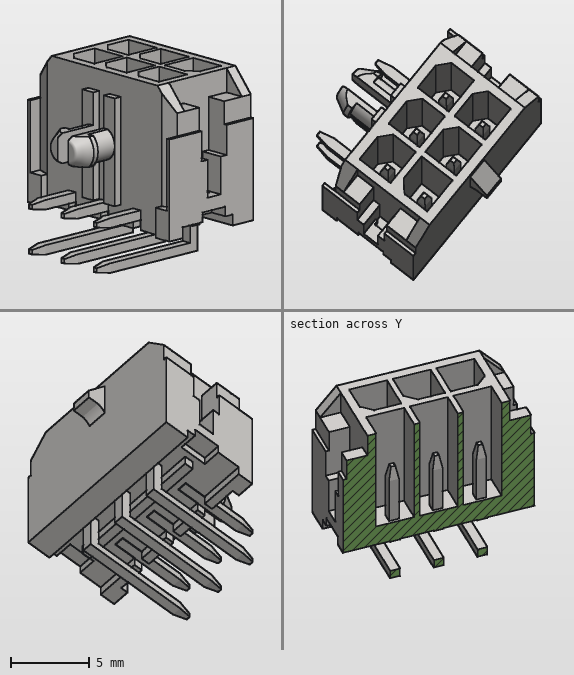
import cadquery as cq
import math


overall_width = 13.15
depth = 6.89
height = 9.93
core_half_width = 4.9
shoulder_half_width = 6.34
shoulder_height = 8.31
corner_inner_x = 5.3
corner_bevel_depth = 0.35
front_gusset_thickness = 1.01
back_gusset_thickness = 0.79
skirt_height = 6.79
front_reach = 0.54
foot_height = 2.0

slot_center = 3.42
slot_wide = 2.21
slot_wide_floor = 4.79
slot_narrow = 1.16
slot_narrow_floor = 2.27
clip_pocket_floor = 1.58
clip_pocket_inner_x = 5.34
clip_pocket_outer_x = 5.65
clip_pocket_width = 0.84

underside = 0.74
front_foot_depth = 0.63
back_foot_depth = 1.84
cross_rib_center = 3.42
cross_rib_thickness = 0.65
window_height = 0.65
window_width = 2.01
window_center = 3.4

split_half_gap = 0.49
rib_outer_x = 1.5
rib_bottom = 1.33
rib_top = 8.5
peg_z = 5.31
peg_height = 2.01
peg_axis_x = 0.38
shank_radius = rib_outer_x - peg_axis_x
barb_radius = 1.38
barb_start = 2.26
barb_length = 0.37
nose_radius = 0.79
nose_fillet = 0.22

pitch = 3.0
columns = (-pitch, 0, pitch)
front_row_y = 1.96
back_row_y = front_row_y + pitch
pin_width = 0.68
pin_thickness = 0.65
pin_tip = 0.3
taper_length = 1.01
pin_end_y = -3.7
upper_run_z = rib_bottom - pin_thickness / 2
lower_run_z = upper_run_z - pitch
leg_back_y = depth - back_foot_depth
leg_top = 1.84
pin_top = 6.58

cavity_width = 2.6
cavity_depth = 2.52
cavity_key_x = 0.75
cavity_key_y = 0.67
cavity_floor = slot_narrow_floor

latch_width = 1.45
latch_reach = 1.37
latch_top = 9.34
latch_nose_top = 7.73
latch_nose_bottom = 7.0
latch_root_reach = 0.6
latch_root_drop = 0.42
latch_root_radius = 1.05

half_width = overall_width / 2


def box(x0, x1, y0, y1, z0, z1):
    """Box between two opposite corners."""
    return cq.Workplane("XY").box(x1 - x0, y1 - y0, z1 - z0, centered=False).translate((x0, y0, z0))


def both_sides(right_half):
    """Right-hand feature together with its mirror image across x = 0."""
    return right_half.union(right_half.mirror("YZ"))


def shoulders():
    """Side shoulders with sloping end gussets and bevelled front corners."""
    side = box(core_half_width, shoulder_half_width, 0, depth, 0, shoulder_height)
    gusset = (
        cq.Workplane("XZ")
        .moveTo(core_half_width, shoulder_height)
        .lineTo(shoulder_half_width, shoulder_height)
        .lineTo(core_half_width, height)
        .close()
        .extrude(-depth)
    )
    gap = box(core_half_width, half_width, front_gusset_thickness, depth - back_gusset_thickness,
              shoulder_height, height)
    side = side.union(gusset.cut(gap))
    bevel = (
        cq.Workplane("XY")
        .moveTo(corner_inner_x, 0)
        .lineTo(shoulder_half_width, corner_bevel_depth)
        .lineTo(shoulder_half_width, 0)
        .close()
        .extrude(height)
    )
    return both_sides(side.cut(bevel))


def skirts():
    """Thin outer walls with the front feet."""
    wall = box(shoulder_half_width, half_width, -front_reach, depth, 0, skirt_height)
    foot = box(corner_inner_x, half_width, -front_reach, front_foot_depth, 0, foot_height)
    return both_sides(wall.union(foot))


def side_cuts():
    """Stepped clip slot with its blind pocket, and the window in the lower edge."""
    def slot_step(width, floor):
        y0 = slot_center - width / 2
        return box(core_half_width, half_width, y0, y0 + width, floor, height)

    cuts = slot_step(slot_wide, slot_wide_floor).union(slot_step(slot_narrow, slot_narrow_floor))
    narrow_y0 = slot_center - slot_narrow / 2
    pocket_y0 = slot_center - clip_pocket_width / 2
    cuts = cuts.union(
        box(core_half_width, clip_pocket_inner_x, narrow_y0, narrow_y0 + slot_narrow,
            clip_pocket_floor, slot_narrow_floor)
    )
    cuts = cuts.union(
        box(core_half_width, clip_pocket_outer_x, pocket_y0, pocket_y0 + clip_pocket_width,
            clip_pocket_floor, slot_narrow_floor)
    )
    window_y0 = window_center - window_width / 2
    window = box(corner_inner_x, half_width, window_y0, window_y0 + window_width,
                 underside, underside + window_height)
    return both_sides(cuts.union(window))


def underside_cut():
    """Relief between front and back feet, leaving a cross rib, plus tail notches in the front wall."""
    relief = box(-half_width, half_width, front_foot_depth, depth - back_foot_depth, 0, underside)
    rib_y0 = cross_rib_center - cross_rib_thickness / 2
    relief = relief.cut(
        box(-core_half_width, core_half_width, rib_y0, rib_y0 + cross_rib_thickness, 0, underside)
    )
    for x in columns:
        relief = relief.union(
            box(x - pin_width / 2, x + pin_width / 2, 0, front_foot_depth, 0, upper_run_z)
        )
    return relief


def cavity(x, y, key_side):
    """Contact cavity with one front corner cut off; key_side is -1 for left and 1 for right."""
    half_x = key_side * cavity_width / 2
    half_y = cavity_depth / 2
    outline = [
        (-half_x, half_y),
        (half_x, half_y),
        (half_x, cavity_key_y - half_y),
        (half_x - key_side * cavity_key_x, -half_y),
        (-half_x, -half_y),
    ]
    plane = cq.Workplane("XY", origin=(x, y, cavity_floor))
    return plane.polyline(outline).close().extrude(height - cavity_floor)


def tapered_pin(plane, length):
    """Rectangular pin that starts on a plane and narrows to a square tip along its normal."""
    shaft = cq.Workplane(plane).rect(pin_width, pin_thickness).extrude(length - taper_length)
    taper = (
        cq.Workplane(plane)
        .workplane(offset=length - taper_length)
        .rect(pin_width, pin_thickness)
        .workplane(offset=taper_length)
        .rect(pin_tip, pin_tip)
        .loft()
    )
    return shaft.union(taper)


def upright_pin(x, y):
    """Mating end of a contact inside its cavity."""
    start = upper_run_z
    return tapered_pin(cq.Plane((x, y, start), (1, 0, 0), (0, 0, 1)), pin_top - start)


def tail(x, start_y, z):
    """Horizontal solder tail that points to the front."""
    return tapered_pin(cq.Plane((x, start_y, z), (1, 0, 0), (0, -1, 0)), start_y - pin_end_y)


def rear_leg(x):
    """Vertical part that links a rear contact to its low tail."""
    bottom = lower_run_z - pin_thickness / 2
    return box(x - pin_width / 2, x + pin_width / 2, leg_back_y - pin_width, leg_back_y, bottom, leg_top)


def peg():
    """Split snap peg: two flat-sided round halves with barbed, tapered heads."""
    end = -pin_end_y
    axis_plane = cq.Plane((peg_axis_x, 0, peg_z), (1, 0, 0), (0, -1, 0))
    shank = cq.Workplane(axis_plane).circle(shank_radius).extrude(barb_start)
    barb = cq.Workplane(axis_plane).workplane(offset=barb_start).circle(barb_radius).extrude(barb_length)
    nose_length = end - barb_start - barb_length
    nose_taper = math.degrees(math.atan2(barb_radius - nose_radius, nose_length))
    nose = (
        cq.Workplane(axis_plane)
        .workplane(offset=barb_start + barb_length)
        .circle(barb_radius)
        .extrude(nose_length, taper=nose_taper)
        .faces("<Y")
        .edges()
        .fillet(nose_fillet)
    )
    keep = box(split_half_gap, half_width, -end, 0, peg_z - peg_height / 2, peg_z + peg_height / 2)
    return both_sides(shank.union(barb).union(nose).intersect(keep))


def ribs():
    """Two upright ribs on the front face."""
    return both_sides(box(split_half_gap, rib_outer_x, -front_reach, 0, rib_bottom, rib_top))


def latch():
    """Ramped latch with a rounded root under its nose."""
    return (
        cq.Workplane("YZ", origin=(-latch_width / 2, depth, 0))
        .moveTo(0, latch_top)
        .lineTo(latch_reach, latch_nose_top)
        .lineTo(latch_reach, latch_nose_bottom)
        .lineTo(latch_root_reach, latch_nose_bottom)
        .radiusArc((0, latch_nose_bottom - latch_root_drop), -latch_root_radius)
        .close()
        .extrude(latch_width)
    )


core = box(-core_half_width, core_half_width, 0, depth, 0, height)
front_fill = box(-corner_inner_x, corner_inner_x, 0, depth, 0, foot_height)
result = core.union(front_fill).union(shoulders()).union(skirts())
result = result.cut(side_cuts()).cut(underside_cut())

for column_x in columns:
    for row_y in (front_row_y, back_row_y):
        is_back_right = column_x > 0 and row_y == back_row_y
        result = result.cut(cavity(column_x, row_y, 1 if is_back_right else -1))
        result = result.union(upright_pin(column_x, row_y))
    result = result.union(tail(column_x, front_row_y + pin_thickness / 2, upper_run_z))
    result = result.union(rear_leg(column_x))
    result = result.union(tail(column_x, leg_back_y - pin_width / 2, lower_run_z))

result = result.union(ribs()).union(peg()).union(latch())